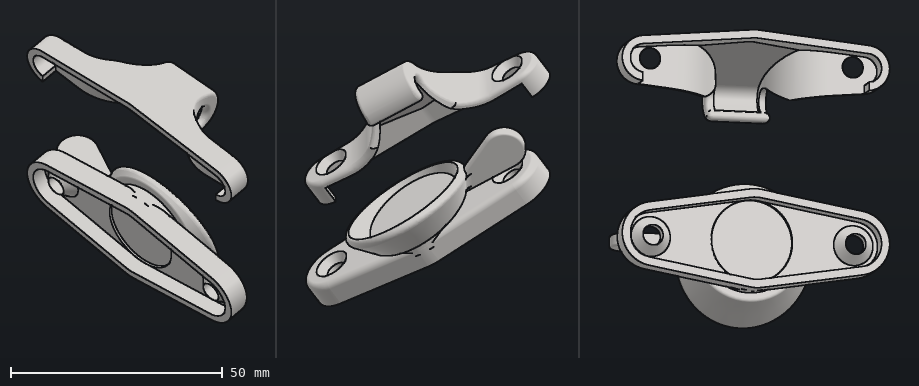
import cadquery as cq
import math

half_length = 32.535
wall = 2.0
apex_radius = 9.0
screw_x = 24.65
hole_radius = 2.43
countersink_radius = 4.2
countersink_half_angle = math.radians(41)
margin = 30.0
tolerance = 0.05

keeper_z = 42.09
keeper_half_height = 8.02
keeper_end_radius = 5.43
keeper_thickness = 6.6
keeper_screw_z = 42.9
keeper_floor = keeper_thickness - wall
gap_half_width = 27.5

neck_half_width = 7.5
flare_radius = 12.75

hook_y = 17.75
hook_z = 37.0
hook_radius = 6.0
hook_reach = hook_y + hook_radius
hook_wall = 2.5
bore_y = 16.55
bore_z = 36.3
bore_radius = 2.9
roof_angle = math.radians(29)
underside_angle = math.radians(30)
hook_back_angle = math.radians(-20)
tip_outer_angle = math.radians(-101)
tip_inner_angle = math.radians(-95)
tip_bulge = 0.35
keeper_round = 1.2
roof_blend = 6.0

base_half_height = 12.0
base_end_radius = 7.75
base_thickness = 6.4
base_round = 1.5
base_floor = 4.0
recess_radius = 9.85
recess_depth = 0.7
screw_boss_radius = 4.78
screw_boss_height = 2.5
pivot_radius = 11.85

cup_back = 7.17
cup_back_radius = 13.75
cup_flare = math.radians(32)
cup_tilt = math.radians(12.6)
cup_rim_y = 13.1
cup_back_round = 0.9
cup_rim_round = 1.3
bowl_floor_y = 8.8
bowl_floor_radius = 12.3

lever_radius = 5.07
lever_thickness = 3.1
lever_round = 0.6
lever_slope = math.radians(26.6)
lever_inner_x = -12.0
root_round = 1.3
root_end_y = 11.0
cup_rim_x = 17.5


def lozenge(half_height, end_radius, inset, start_y, depth):
    """Long lozenge with round ends and softened apexes, drawn in XZ and extruded along +Y.

    half_height is where the slanted sides would meet; inset moves the whole outline inwards.
    """
    end_x = half_length - end_radius
    slope = math.acos(end_radius / math.hypot(end_x, half_height)) - math.atan2(end_x, half_height)
    end_round = end_radius - inset
    side_x = end_x + end_round * math.sin(slope)
    side_z = end_round * math.cos(slope)
    tip_x = end_x + end_round

    apex_centre = half_height - apex_radius / math.cos(slope)
    apex_round = apex_radius - inset
    apex_z = apex_centre + apex_round
    shoulder_x = apex_round * math.sin(slope)
    shoulder_z = apex_centre + apex_round * math.cos(slope)
    return (
        cq.Workplane("XZ", origin=(0, start_y, 0))
        .moveTo(-shoulder_x, shoulder_z)
        .threePointArc((0, apex_z), (shoulder_x, shoulder_z))
        .lineTo(side_x, side_z)
        .threePointArc((tip_x, 0), (side_x, -side_z))
        .lineTo(shoulder_x, -shoulder_z)
        .threePointArc((0, -apex_z), (-shoulder_x, -shoulder_z))
        .lineTo(-side_x, -side_z)
        .threePointArc((-tip_x, 0), (-side_x, side_z))
        .close()
        .extrude(-depth)
    )


def cone(x, z, start_y, start_radius, end_radius, height):
    """Cone frustum with its axis along +Y."""
    return cq.Workplane(cq.Solid.makeCone(
        start_radius, end_radius, height, cq.Vector(x, start_y, z), cq.Vector(0, 1, 0)))


def cylinder(x, z, start_y, radius, height):
    """Cylinder with its axis along +Y."""
    return cq.Workplane("XZ", origin=(x, start_y, z)).circle(radius).extrude(-height)


def screw_hole(x, z, front_y):
    """Through hole with a countersink that opens on the front face."""
    sink_depth = (countersink_radius - hole_radius) / math.tan(countersink_half_angle)
    sink = cone(x, z, front_y - sink_depth, hole_radius, countersink_radius, sink_depth)
    return cylinder(x, z, 0, hole_radius, front_y).union(sink)


def on_circle(y, z, radius, angle):
    return (y + radius * math.cos(angle), z + radius * math.sin(angle))


def flare_prism(inset):
    """Plate that sweeps up into the neck, drawn in XY and extruded along Z."""
    plate_y = keeper_thickness - inset
    neck_x = neck_half_width - inset
    radius = flare_radius + inset
    centre_x = neck_half_width + flare_radius
    centre_y = keeper_thickness + flare_radius
    middle = on_circle(centre_x, centre_y, radius, 1.25 * math.pi)
    half_plan = (
        cq.Workplane("XY")
        .lineTo(0, hook_reach)
        .lineTo(neck_x, hook_reach)
        .lineTo(neck_x, centre_y)
        .threePointArc(middle, (centre_x, plate_y))
        .lineTo(half_length, plate_y)
        .lineTo(half_length, 0)
        .close()
        .extrude(2 * margin)
    )
    return half_plan.union(half_plan.mirror("YZ")).clean()


def keeper_side():
    """Side shape of the keeper: sloping roof, hook with its round mouth, sloping underside."""
    top_z = keeper_z + keeper_half_height
    bottom_z = keeper_z - keeper_half_height
    roof_normal = math.pi / 2 - roof_angle
    roof_end = on_circle(hook_y, hook_z, hook_radius, roof_normal)
    roof_start_y = roof_end[0] - (top_z - roof_end[1]) / math.tan(roof_angle)
    tip_outer = on_circle(hook_y, hook_z, hook_radius, tip_outer_angle)
    tip_inner = on_circle(bore_y, bore_z, bore_radius, tip_inner_angle)
    tip_middle = ((tip_outer[0] + tip_inner[0]) / 2 - tip_bulge, (tip_outer[1] + tip_inner[1]) / 2)
    mouth_end = on_circle(bore_y, bore_z, bore_radius, math.pi / 2 + underside_angle)
    underside_y = mouth_end[0] - (mouth_end[1] - bottom_z) / math.tan(underside_angle)
    return (
        cq.Workplane("YZ")
        .moveTo(0, bottom_z)
        .lineTo(0, top_z)
        .lineTo(roof_start_y, top_z)
        .lineTo(*roof_end)
        .threePointArc(on_circle(hook_y, hook_z, hook_radius, hook_back_angle), tip_outer)
        .threePointArc(tip_middle, tip_inner)
        .threePointArc(on_circle(bore_y, bore_z, bore_radius, 0), mouth_end)
        .lineTo(underside_y, bottom_z)
        .close()
        .extrude(half_length, both=True)
    )


def keeper_cavity():
    """Hollow behind the plate and neck: open at the back, at the underside and into the hook's mouth."""
    radius = hook_radius - hook_wall
    roof_end = on_circle(hook_y, hook_z, radius, math.pi / 2 - roof_angle)
    roof_start_z = roof_end[1] + roof_end[0] * math.tan(roof_angle)
    open_y = bore_y - bore_radius
    side = (
        cq.Workplane("YZ")
        .lineTo(0, roof_start_z)
        .lineTo(*roof_end)
        .threePointArc((hook_y + radius, hook_z), (hook_y, hook_z - radius))
        .lineTo(hook_y, bore_z)
        .lineTo(open_y, bore_z)
        .lineTo(open_y, 0)
        .close()
        .extrude(half_length, both=True)
    )
    outline = lozenge(keeper_half_height, keeper_end_radius, wall, 0, hook_reach)
    opening = cq.Workplane("XY").box(2 * gap_half_width, hook_reach, margin, (True, False, False))
    outline = outline.union(opening.translate((0, 0, -margin))).translate((0, 0, keeper_z))
    return flare_prism(wall).intersect(side).intersect(outline)


def between(low, high):
    """Selector for edges whose centre lies between two corner points."""
    return cq.selectors.BoxSelector(low, high)


def make_keeper():
    outline = lozenge(keeper_half_height, keeper_end_radius, 0, 0, hook_reach)
    hook_room = cq.Workplane("XY").box(2 * gap_half_width, hook_reach, margin, (True, False, False))
    open_y = bore_y - bore_radius
    hook_room = hook_room.translate((0, open_y, -margin))
    outline = outline.union(hook_room).translate((0, 0, keeper_z))
    body = flare_prism(0).intersect(keeper_side()).intersect(outline)

    top_z = keeper_z + keeper_half_height
    ridge = between((-neck_half_width, keeper_floor, top_z - wall), (neck_half_width, bore_y, top_z))
    body = body.edges(ridge).fillet(roof_blend)

    edge_x = neck_half_width - tolerance
    front_y = keeper_thickness - tolerance
    right_edges = between((edge_x, front_y, 0), (half_length, margin, top_z))
    left_edges = between((-half_length, front_y, 0), (-edge_x, margin, top_z))
    tip_edges = between((-tolerance, open_y, 0), (tolerance, hook_y, bore_z - hook_wall))
    body = body.edges(right_edges + left_edges + tip_edges).fillet(keeper_round)

    body = body.cut(keeper_cavity())
    for x in (-screw_x, screw_x):
        body = body.cut(screw_hole(x, keeper_screw_z, keeper_thickness))
    return body


def make_base():
    base = lozenge(base_half_height, base_end_radius, 0, 0, base_thickness)
    base = base.faces(">Y").edges().fillet(base_round)
    base = base.cut(lozenge(base_half_height, base_end_radius, wall, 0, base_floor))
    base = base.union(cylinder(0, 0, base_floor, pivot_radius, cup_back - base_floor))
    base = base.cut(cylinder(0, 0, base_floor, recess_radius, recess_depth))
    for x in (-screw_x, screw_x):
        boss = cone(x, 0, base_floor - screw_boss_height, hole_radius, screw_boss_radius, screw_boss_height)
        base = base.union(boss).cut(screw_hole(x, 0, base_thickness))
    return base


def flared_cone(back_y, back_radius):
    """Cone about the Y axis that widens forwards and ends at the tilted rim plane of the cup."""
    blank = cone(0, 0, back_y, back_radius, back_radius + margin * math.tan(cup_flare), margin)
    front = cq.Workplane("XY").box(4 * margin, 2 * margin, 4 * margin, (True, False, True))
    front = front.rotate((0, 0, 0), (1, 0, 0), math.degrees(cup_tilt)).translate((0, cup_rim_y, 0))
    return blank.cut(front)


def cup_blank():
    return flared_cone(cup_back, cup_back_radius)


def make_cup():
    """Flared cup with a rounded back edge and rim."""
    rim_face = cq.selectors.NearestToPointSelector((0, cup_rim_y, 0))
    cup = cup_blank().faces("<Y").edges().fillet(cup_back_round)
    return cup.faces(rim_face).edges().fillet(cup_rim_round)


def lever_blank():
    """Flat thumb lever: a round end that tapers towards the cup."""
    end_x = lever_radius - half_length
    end_y = cup_back + lever_radius
    tangent_x, tangent_y = on_circle(end_x, end_y, lever_radius, math.pi / 2 - lever_slope)
    inner_y = tangent_y - (lever_inner_x - tangent_x) * math.tan(lever_slope)
    return (
        cq.Workplane("XY", origin=(0, 0, -lever_thickness / 2))
        .moveTo(lever_inner_x, cup_back)
        .lineTo(lever_inner_x, inner_y)
        .lineTo(tangent_x, tangent_y)
        .threePointArc((end_x - lever_radius, end_y), (end_x, cup_back))
        .close()
        .extrude(lever_thickness)
    )


def make_lever():
    return lever_blank().faces("|Z").edges().fillet(lever_round)


def make_lever_root():
    """Concave fillets where the flat sides of the lever run into the cup."""
    joined = cup_blank().union(lever_blank())
    half_thickness = lever_thickness / 2
    inside_z = half_thickness - tolerance
    outside_z = half_thickness + tolerance
    upper = between((-cup_rim_x, cup_back, inside_z), (-cup_back_radius, root_end_y, outside_z))
    lower = between((-cup_rim_x, cup_back, -outside_z), (-cup_back_radius, root_end_y, -inside_z))
    joined = joined.edges(upper + lower).fillet(root_round)

    start_y = cup_back + cup_back_round
    width = 2 * (cup_rim_x + lever_inner_x)
    height = lever_thickness + 2 * root_round
    room = cq.Workplane("XY", origin=(lever_inner_x, start_y, 0))
    room = room.box(width, root_end_y - start_y, height, (True, False, True))
    return joined.intersect(room)


def make_lock():
    bowl = flared_cone(bowl_floor_y, bowl_floor_radius)
    return make_base().union(make_cup()).union(make_lever()).union(make_lever_root()).cut(bowl)


keeper = make_keeper()
lock = make_lock()
result = cq.Compound.makeCompound([keeper.val(), lock.val()])